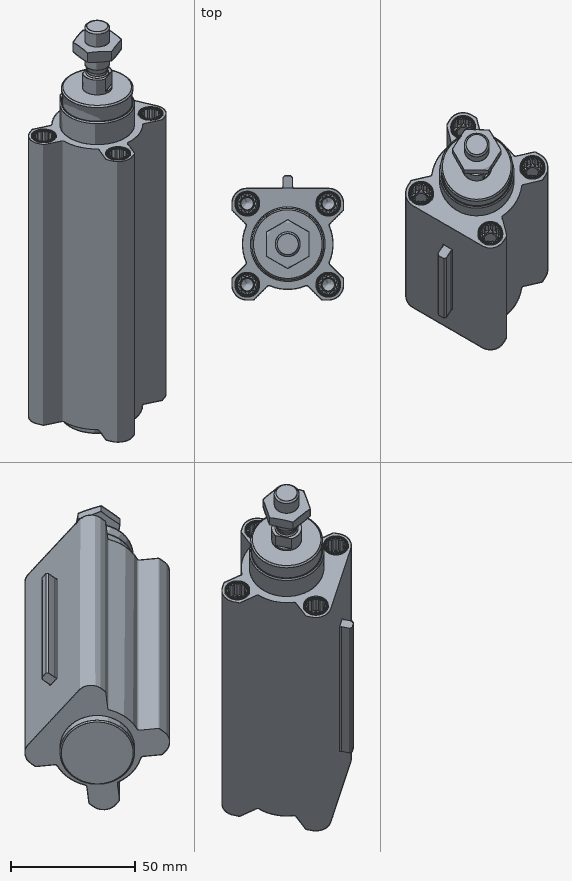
import cadquery as cq
import math

barrel_bottom = 4.3
barrel_top = 138.0
barrel_width = 45.0
barrel_half_width = barrel_width / 2
lobe_spacing = 16.3
lobe_radius = barrel_half_width - lobe_spacing
waist_radius = 36.5 / 2
flank_offset = lobe_radius * math.sqrt(2)
flank_outer_fillet = 1.0
flank_inner_fillet = 1.0

boss_radius = 30.0 / 2
boss_chamfer = 0.5
collar_shoulder = 148.6
collar_top = 156.0
collar_rim_radius = 28.9 / 2
collar_waist_radius = 28.0 / 2
collar_foot_radius = 28.1 / 2
collar_chamfer = 0.65

rail_bottom = 32.2
rail_top = 110.3
rail_width = 3.9
rail_height = 5.0
rail_chamfer = 0.7
rail_foot_height = 0.7
rail_foot_flare = 0.28

seat_radius = 10.0 / 2
seat_depth = 1.9
head_radius = 9.5 / 2
head_recess = 0.1
head_chamfer = 0.28
socket_mouth_radius = 8.5 / 2
socket_root_radius = 8.1 / 2
socket_tip_radius = 6.7 / 2
socket_teeth = 12
socket_depth = 7.4
drill_mouth_radius = 6.0 / 2
drill_radius = 5.0 / 2
drill_depth = 18.5
drill_tip_angle = 118

rod_top = 185.1
rod_bottom = barrel_top
rod_radius = 12.0 / 2
rod_shoulder = 163.0
rod_flats = 10.0
rod_flats_bottom = 157.0
neck_radius = 8.1 / 2
neck_foot = 0.5
thread_radius = 10.0 / 2
thread_bottom = 164.7
thread_taper_top = 167.1
thread_chamfer = 0.7

nut_bottom = 173.3
nut_thickness = 5.0
nut_flats = 17.0
nut_face_radius = 17.4 / 2
nut_chamfer_angle = 15


def barrel():
    """Square barrel with four corner lobes; three sides are recessed to a round waist."""
    height = barrel_top - barrel_bottom
    block = (
        cq.Workplane("XY").workplane(offset=barrel_bottom)
        .rect(barrel_width, barrel_width).extrude(height)
        .edges("|Z").fillet(lobe_radius)
    )
    core = cq.Workplane("XY").workplane(offset=barrel_bottom).circle(waist_radius).extrude(height)
    for angle in (90, 180, 270):
        block = block.cut(recess(height, core).rotate((0, 0, 0), (0, 0, 1), angle))
    return block


def recess(height, core):
    """Wedge between two lobes on the +Y side, hollowed where the round waist stands."""
    reach = barrel_half_width
    mouth = reach - flank_offset
    half_turn = math.radians(45) / 2
    fillet_run = flank_outer_fillet * math.tan(half_turn)
    lip = mouth + fillet_run
    flank_x = mouth - fillet_run * math.sqrt(0.5)
    flank_y = flank_x + flank_offset
    middle_x = lip - flank_outer_fillet * math.sin(half_turn)
    middle_y = reach - flank_outer_fillet * (1 - math.cos(half_turn))
    wedge = (
        cq.Workplane("XY").workplane(offset=barrel_bottom)
        .moveTo(0, flank_offset)
        .lineTo(flank_x, flank_y)
        .threePointArc((middle_x, middle_y), (lip, reach))
        .lineTo(-lip, reach)
        .threePointArc((-middle_x, middle_y), (-flank_x, flank_y))
        .close().extrude(height)
    )
    inner_corners = cq.selectors.BoxSelector(
        (-flank_x, flank_offset, barrel_bottom), (flank_x, waist_radius, barrel_top)
    )
    return wedge.cut(core).edges("|Z").edges(inner_corners).fillet(flank_inner_fillet)


def end_bosses():
    """Round boss below the barrel, and the stepped collar with its hollowed rim above it."""
    bottom_boss = (
        cq.Workplane("XY").circle(boss_radius).extrude(barrel_bottom)
        .faces("<Z").chamfer(boss_chamfer)
    )
    rim_edge = collar_top - collar_chamfer
    collar = (
        cq.Workplane("XZ")
        .moveTo(0, barrel_top)
        .lineTo(boss_radius, barrel_top)
        .lineTo(boss_radius, collar_shoulder - boss_chamfer)
        .lineTo(boss_radius - boss_chamfer, collar_shoulder)
        .lineTo(collar_foot_radius, collar_shoulder)
        .threePointArc((collar_waist_radius, (collar_shoulder + rim_edge) / 2),
                       (collar_rim_radius, rim_edge))
        .lineTo(collar_rim_radius - collar_chamfer, collar_top)
        .lineTo(0, collar_top)
        .close().revolve(360, (0, 0, 0), (0, 1, 0))
    )
    return bottom_boss, collar


def rail():
    """Narrow rail standing on the +Y face, chamfered outside and slightly flared at its foot."""
    half = rail_width / 2
    foot = barrel_half_width
    crest = foot + rail_height
    outline = [
        (half + rail_foot_flare, foot),
        (half, foot + rail_foot_height),
        (half, crest - rail_chamfer),
        (half - rail_chamfer, crest),
    ]
    mirrored = [(-x, y) for x, y in reversed(outline)]
    return (
        cq.Workplane("XY").workplane(offset=rail_bottom)
        .polyline(outline + mirrored).close().extrude(rail_top - rail_bottom)
    )


def corner_screw():
    """Cutter on the Z axis that leaves a recessed screw head with a splined socket and a drilled hole."""
    head_top = barrel_top - head_recess
    mouth_depth = socket_mouth_radius - socket_root_radius
    tip_length = drill_radius / math.tan(math.radians(drill_tip_angle / 2))
    turned = (
        cq.Workplane("XZ")
        .moveTo(0, barrel_top)
        .lineTo(seat_radius, barrel_top)
        .lineTo(seat_radius, barrel_top - seat_depth)
        .lineTo(head_radius, barrel_top - seat_depth)
        .lineTo(head_radius, head_top - head_chamfer)
        .lineTo(head_radius - head_chamfer, head_top)
        .lineTo(socket_mouth_radius, head_top)
        .lineTo(socket_root_radius, head_top - mouth_depth)
        .lineTo(drill_mouth_radius, head_top - mouth_depth)
        .lineTo(drill_mouth_radius, barrel_top - socket_depth)
        .lineTo(drill_radius, barrel_top - socket_depth - (drill_mouth_radius - drill_radius))
        .lineTo(drill_radius, barrel_top - drill_depth)
        .lineTo(0, barrel_top - drill_depth - tip_length)
        .close().revolve(360, (0, 0, 0), (0, 1, 0))
    )
    spline = []
    for i in range(2 * socket_teeth):
        radius = socket_root_radius if i % 2 == 0 else socket_tip_radius
        angle = math.pi * i / socket_teeth
        spline.append((radius * math.cos(angle), radius * math.sin(angle)))
    socket = (
        cq.Workplane("XY").workplane(offset=barrel_top - socket_depth)
        .polyline(spline).close().extrude(socket_depth - head_recess - mouth_depth)
    )
    return turned.union(socket)


def make_housing():
    """Barrel with its end bosses, rail and four corner screws, bored to take the piston rod."""
    housing = barrel()
    for boss in end_bosses():
        housing = housing.union(boss)
    housing = housing.union(rail())
    screw = corner_screw()
    for x in (-lobe_spacing, lobe_spacing):
        for y in (-lobe_spacing, lobe_spacing):
            housing = housing.cut(screw.translate((x, y, 0)))
    bore = (
        cq.Workplane("XY").workplane(offset=rod_bottom)
        .circle(rod_radius).extrude(collar_top - rod_bottom)
    )
    return housing.cut(bore)


def make_rod():
    """Turned rod with wrench flats, an undercut neck and a plain threaded end."""
    rod = (
        cq.Workplane("XZ")
        .moveTo(0, rod_bottom)
        .lineTo(rod_radius, rod_bottom)
        .lineTo(rod_radius, rod_shoulder)
        .lineTo(neck_radius + neck_foot, rod_shoulder)
        .lineTo(neck_radius, rod_shoulder + neck_foot)
        .lineTo(neck_radius, thread_bottom)
        .lineTo(thread_radius, thread_taper_top)
        .lineTo(thread_radius, rod_top - thread_chamfer)
        .lineTo(thread_radius - thread_chamfer, rod_top)
        .lineTo(0, rod_top)
        .close().revolve(360, (0, 0, 0), (0, 1, 0))
    )
    flats_height = rod_shoulder - rod_flats_bottom
    for side in (-1, 1):
        waste = (
            cq.Workplane("XY").workplane(offset=rod_flats_bottom)
            .center(side * (rod_flats + rod_radius) / 2, 0)
            .rect(rod_radius, 2 * rod_radius).extrude(flats_height)
        )
        rod = rod.cut(waste)
    return rod


def make_nut():
    """Hexagon nut with flats facing +-X and corners bevelled on both faces."""
    corner_radius = nut_flats / 2 / math.cos(math.radians(30))
    bevel = (corner_radius - nut_face_radius) * math.tan(math.radians(nut_chamfer_angle))
    nut_top = nut_bottom + nut_thickness
    hexagon = (
        cq.Workplane("XY").workplane(offset=nut_bottom)
        .polygon(6, 2 * corner_radius).extrude(nut_thickness)
        .rotate((0, 0, 0), (0, 0, 1), 30)
    )
    bevelled_disc = (
        cq.Workplane("XZ")
        .moveTo(thread_radius, nut_bottom)
        .lineTo(nut_face_radius, nut_bottom)
        .lineTo(corner_radius, nut_bottom + bevel)
        .lineTo(corner_radius, nut_top - bevel)
        .lineTo(nut_face_radius, nut_top)
        .lineTo(thread_radius, nut_top)
        .close().revolve(360, (0, 0, 0), (0, 1, 0))
    )
    return hexagon.intersect(bevelled_disc)


housing = make_housing()
rod = make_rod()
nut = make_nut()
result = cq.Compound.makeCompound([housing.val(), rod.val(), nut.val()])